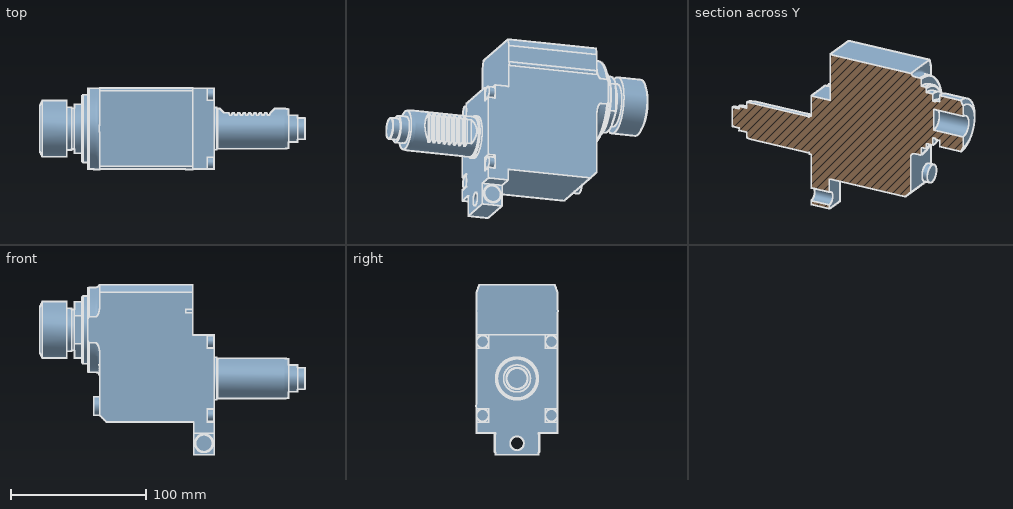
import cadquery as cq
import math


half_width = 30.0
front_x = -85.0
top_z = 69.5
flange_half_height = 32.25
upper_rear_x = -16.0
bottom_chamfer = 5.0
base_front_x = -15.5
base_bottom_z = -40.5
top_bevel_height = 5.5
top_bevel_angle = 20.0

lug_half_width = 16.0
lug_height = 16.0
lug_hole_diameter = 10.0
lug_hole_drop = 7.5
disc_radius = 6.75
disc_height = 0.75
disc_chamfer = 0.5

spindle_z = 36.0
nose_x = -129.4
nut_radius = 21.0
nut_rear_x = -109.3
nut_chamfer_radial = 4.0
nut_chamfer_axial = 2.0
front_neck_radius = 16.0
front_neck_rear_x = -105.7
rear_neck_radius = 15.2
collar_front_x = -103.7
collar_half_flats = 18.2
seal_front_x = -98.2
seal_radius = 25.2
seal_chamfer = 1.0
boss_front_x = -94.0
boss_radius = 31.5
boss_chamfer = 1.2
boss_chamfer_radial = 0.5
boss_fillet = 3.0
boss_root_depth = 5.0
bore_diameter = 16.5
bore_depth = 25.0

shank_radius = 15.0
shank_collar_radius = 15.8
shank_collar_length = 1.7
groove_radius = 14.6
groove_end_x = 2.5
taper_start_x = 52.0
taper_end_x = 55.0
taper_end_radius = 14.5
pilot_radius = 10.0
pilot_end_x = 61.5
tail_radius = 8.0
tail_end_x = 67.26
tail_chamfer = 0.4

tooth_pitch = 4.0
root_count = 8
first_root_x = 12.0
tooth_flat = 1.0
root_y = 10.1
crest_y = 11.9
relief_start_x = 7.1
serration_clearance = 2.0

pocket_half_height = 5.0
screw_z = flange_half_height - pocket_half_height
screw_radius = 4.5
screw_y = half_width - screw_radius
screw_recess = 0.6
pocket_depth = 5.4

plug_radius = 7.0
plug_length = 4.5
plug_y = -23.375
plug_z = -20.4

ridge_radius = 3.0
ridge_height = 0.375
ridge_z = 50.0
short_ridge_length = 5.3
short_ridge_height = 0.25


def box(x0, x1, y0, y1, z0, z1):
    """Block between two opposite corners."""
    return cq.Workplane("XY").box(x1 - x0, y1 - y0, z1 - z0, centered=False).translate((x0, y0, z0))


def rod(x0, x1, y, z, radius):
    """Cylinder parallel to X."""
    return cq.Workplane("YZ", origin=(x0, y, z)).circle(radius).extrude(x1 - x0)


def turned(profile, z):
    """Solid of revolution about an axis parallel to X at height z."""
    return profile.close().revolve(360, (0, 0, 0), (1, 0, 0)).translate((0, 0, z))


def side_limits():
    """Cross-section of the housing along X: flat sides and bevelled top edges."""
    bevel_width = top_bevel_height * math.tan(math.radians(top_bevel_angle))
    outline = [
        (-half_width, base_bottom_z),
        (half_width, base_bottom_z),
        (half_width, top_z - top_bevel_height),
        (half_width - bevel_width, top_z),
        (-half_width + bevel_width, top_z),
        (-half_width, top_z - top_bevel_height),
    ]
    return cq.Workplane("YZ", origin=(nose_x, 0, 0)).polyline(outline).close().extrude(-nose_x)


def housing():
    outline = [
        (front_x, top_z),
        (upper_rear_x, top_z),
        (upper_rear_x, flange_half_height),
        (0, flange_half_height),
        (0, base_bottom_z),
        (base_front_x, base_bottom_z),
        (base_front_x, -flange_half_height),
        (front_x + bottom_chamfer, -flange_half_height),
        (front_x, -flange_half_height + bottom_chamfer),
    ]
    side = cq.Workplane("XZ").polyline(outline).close().extrude(half_width, both=True)
    return side.union(spindle_boss()).intersect(side_limits())


def spindle_boss():
    """Boss around the spindle, with a concave fillet at the front face."""
    arc_reach = boss_fillet * (1 - math.sqrt(0.5))
    profile = (
        cq.Workplane("XY")
        .moveTo(boss_front_x, 0)
        .lineTo(boss_front_x, boss_radius - boss_chamfer_radial)
        .lineTo(boss_front_x + boss_chamfer, boss_radius)
        .lineTo(front_x - boss_fillet, boss_radius)
        .threePointArc((front_x - arc_reach, boss_radius + arc_reach), (front_x, boss_radius + boss_fillet))
        .lineTo(front_x + boss_root_depth, boss_radius + boss_fillet)
        .lineTo(front_x + boss_root_depth, 0)
    )
    return turned(profile, spindle_z)


def spindle():
    nut = cq.Workplane("XY").polyline([
        (nose_x, 0),
        (nose_x, nut_radius - nut_chamfer_radial),
        (nose_x + nut_chamfer_axial, nut_radius),
        (nut_rear_x, nut_radius),
        (nut_rear_x, front_neck_radius),
        (front_neck_rear_x, front_neck_radius),
        (front_neck_rear_x, rear_neck_radius),
        (seal_front_x, rear_neck_radius),
        (seal_front_x, seal_radius - seal_chamfer),
        (seal_front_x + seal_chamfer, seal_radius),
        (boss_front_x, seal_radius),
        (boss_front_x, 0),
    ])
    collar = rod(collar_front_x, seal_front_x, 0, spindle_z, nut_radius)
    flats = box(collar_front_x, seal_front_x, -collar_half_flats, collar_half_flats,
                spindle_z - nut_radius, spindle_z + nut_radius)
    return turned(nut, spindle_z).union(collar.intersect(flats))


def serration_cutter():
    """Region outside the toothed outline, running through along Z."""
    outer_y = shank_radius + serration_clearance
    half_flat = tooth_flat / 2
    half_gap = tooth_pitch / 2 - half_flat
    points = [
        (relief_start_x - (outer_y - crest_y), outer_y),
        (relief_start_x, crest_y),
    ]
    for index in range(root_count):
        root_x = first_root_x + index * tooth_pitch
        points += [
            (root_x - half_gap, crest_y),
            (root_x - half_flat, root_y),
            (root_x + half_flat, root_y),
            (root_x + half_gap, crest_y),
        ]
    last_x = points[-1][0]
    points.append((last_x + outer_y - crest_y, outer_y))
    return cq.Workplane("XY").polyline(points).close().extrude(shank_radius, both=True)


def shank():
    profile = cq.Workplane("XY").polyline([
        (0, 0),
        (0, shank_collar_radius),
        (shank_collar_length, shank_collar_radius),
        (shank_collar_length, groove_radius),
        (groove_end_x, groove_radius),
        (groove_end_x, shank_radius),
        (taper_start_x, shank_radius),
        (taper_end_x, taper_end_radius),
        (taper_end_x, pilot_radius),
        (pilot_end_x, pilot_radius),
        (pilot_end_x, tail_radius),
        (tail_end_x - tail_chamfer, tail_radius),
        (tail_end_x, tail_radius - tail_chamfer),
        (tail_end_x, 0),
    ])
    collar_guard = rod(0, groove_end_x, 0, 0, shank_collar_radius)
    return turned(profile, 0).cut(serration_cutter().cut(collar_guard))


def lug():
    bottom_z = base_bottom_z - lug_height
    hole_z = base_bottom_z - lug_hole_drop
    body = box(base_front_x, 0, -lug_half_width, lug_half_width, bottom_z, base_bottom_z)
    disc_half_span = lug_half_width + disc_height
    discs = (
        cq.Workplane("XZ", origin=(base_front_x / 2, 0, hole_z))
        .circle(disc_radius)
        .extrude(disc_half_span, both=True)
        .faces("<Y or >Y")
        .chamfer(disc_chamfer)
    )
    hole = rod(base_front_x, 0, 0, hole_z, lug_hole_diameter / 2)
    return body.union(discs).cut(hole)


def add_mounting_screws(body):
    """Cut the corner pockets and leave a screw head standing in each."""
    for y_side in (-1, 1):
        for z_side in (-1, 1):
            y = y_side * screw_y
            z = z_side * screw_z
            y_edges = sorted((y_side * (screw_y - screw_radius), y_side * half_width))
            pocket = box(-pocket_depth, 0, *y_edges, z - pocket_half_height, z + pocket_half_height)
            head = rod(-pocket_depth, -screw_recess, y, z, screw_radius)
            body = body.cut(pocket.cut(head))
    return body


def side_ridges():
    """Segments of buried dowels that stand slightly proud of the sides."""
    long_y = half_width + ridge_height - ridge_radius
    short_y = half_width + short_ridge_height - ridge_radius
    long_ridge = rod(front_x, upper_rear_x, long_y, ridge_z, ridge_radius)
    short_ridge = rod(upper_rear_x - short_ridge_length, upper_rear_x, -short_y, ridge_z, ridge_radius)
    return long_ridge.union(short_ridge)


bore = rod(nose_x, nose_x + bore_depth, 0, spindle_z, bore_diameter / 2)
plug = rod(front_x - plug_length, front_x, plug_y, plug_z, plug_radius)

result = (
    add_mounting_screws(housing())
    .union(spindle())
    .union(shank())
    .union(lug())
    .union(side_ridges())
    .union(plug)
    .cut(bore)
)